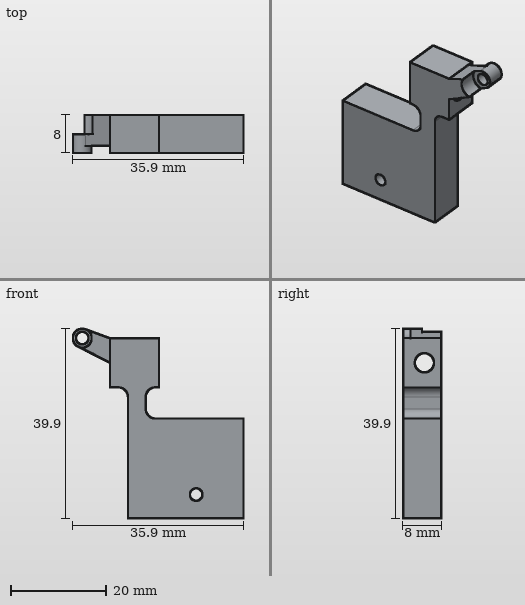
import cadquery as cq
import math

thickness = 8.0
base_right = 35.9
base_top = 21.0
stem_left = 11.55
stem_right = 15.35
head_left = 7.78
head_size = 10.35
head_top = 37.9
fillet_radius = 2.0
head_right = head_left + head_size
head_bottom = head_top - head_size

mount_diameter = 2.6
mount_x = 25.92
mount_z = 5.02

eye_radius = 2.0
eye_bore_diameter = 2.6
eye_length = 4.0
eye_x = eye_radius
eye_z = head_top
arm_front = 1.5
arm_height = 5.2
arm_bottom = head_top - arm_height
clearance_radius = 2.5

cross_diameter = 4.0
cross_y = 4.45
cross_z = arm_bottom


def extrude_y(profile, y_start, y_end):
    """Extrude an XZ-plane profile from y_start to y_end."""
    return profile.extrude(y_start - y_end).translate((0, y_start, 0))


def cylinder_y(x, z, radius, y_start, y_end):
    """Round bar along Y."""
    return extrude_y(cq.Workplane("XZ").center(x, z).circle(radius), y_start, y_end)


def eye_tangent_point(x, z, side):
    """Point where a line from (x, z) touches the eye; side is 1 above, -1 below."""
    distance = math.hypot(x - eye_x, z - eye_z)
    direction = math.atan2(z - eye_z, x - eye_x)
    angle = direction + side * math.acos(eye_radius / distance)
    return (eye_x + eye_radius * math.cos(angle), eye_z + eye_radius * math.sin(angle))


def make_body():
    outline = (
        cq.Workplane("XZ")
        .moveTo(stem_left, 0)
        .lineTo(base_right, 0)
        .lineTo(base_right, base_top)
        .lineTo(stem_right + fillet_radius, base_top)
        .radiusArc((stem_right, base_top + fillet_radius), fillet_radius)
        .lineTo(stem_right, head_bottom - fillet_radius)
        .radiusArc((stem_right + fillet_radius, head_bottom), fillet_radius)
        .lineTo(head_right, head_bottom)
        .lineTo(head_right, head_top)
        .lineTo(head_left, head_top)
        .lineTo(head_left, head_bottom)
        .lineTo(stem_left - fillet_radius, head_bottom)
        .radiusArc((stem_left, head_bottom - fillet_radius), fillet_radius)
        .close()
    )
    return extrude_y(outline, 0, thickness)


def make_arm():
    """Tapered arm tangent to the eye, relieved behind it for a mating eye."""
    outline = cq.Workplane("XZ").polyline([
        (head_left, head_top),
        eye_tangent_point(head_left, head_top, 1),
        (eye_x, eye_z),
        eye_tangent_point(head_left, arm_bottom, -1),
        (head_left, arm_bottom),
    ]).close()
    arm = extrude_y(outline, arm_front, thickness)
    return arm.cut(cylinder_y(eye_x, eye_z, clearance_radius, eye_length, thickness))


eye = cylinder_y(eye_x, eye_z, eye_radius, 0, eye_length)
eye_bore = cylinder_y(eye_x, eye_z, eye_bore_diameter / 2, 0, eye_length)
mount_hole = cylinder_y(mount_x, mount_z, mount_diameter / 2, 0, thickness)
cross_hole = cq.Workplane("YZ").center(cross_y, cross_z).circle(cross_diameter / 2).extrude(head_right)

result = make_body().union(make_arm()).union(eye)
result = result.cut(eye_bore).cut(mount_hole).cut(cross_hole)